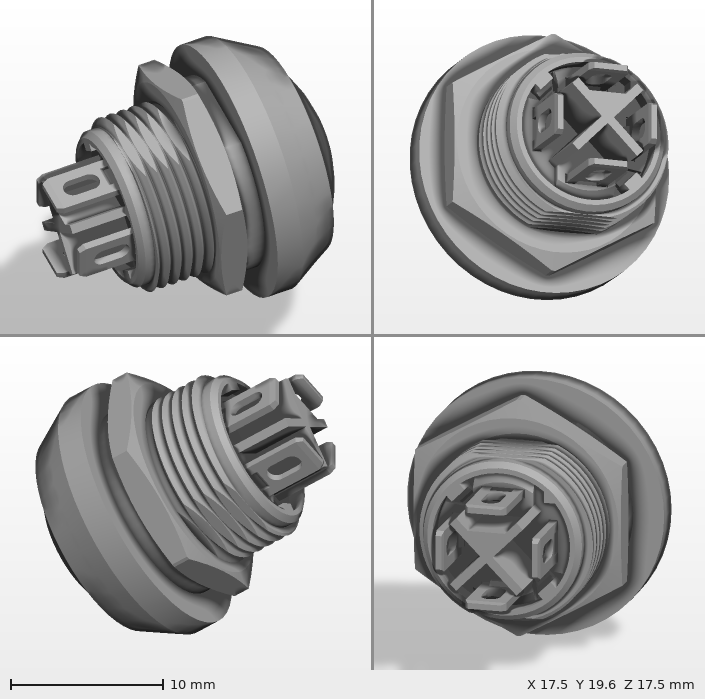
import cadquery as cq
import math


overlap = 0.1

head_radius = 17.53 / 2
rim_height = 1.8
bezel_height = 4.83
bezel_face_radius = 7.03
bezel_edge_round = 0.12
dome_height = 7.07
dome_base_radius = 6.26

neck_radius = 6.66
neck_depth = 1.3
neck_flat_height = 6.0
thread_radius = 5.98
thread_root_radius = 10.79 / 2
thread_flat_height = 5.42
thread_pitch = 25.4 / 32
thread_base_fill = 0.92
thread_root_overlap = 0.05
thread_start_depth = 2.6
thread_end_depth = 7.33
thread_crest_depth = 3.36
collar_radius = 5.41
collar_chamfer = 0.37
bushing_end_depth = 8.37

nut_width = 14.14
nut_start_depth = 1.2
nut_thickness = 2.0
nut_shift_x = -0.38
nut_face_radius = 13.85 / 2
nut_chamfer_depth = 0.43
nut_trimmed_height = 16.18
nut_countersink_radius = 5.92
nut_countersink_run = 0.5
nut_countersink_depth = 0.3

bore_radius = 4.7
insulator_radius = 9.2 / 2
insulator_face_depth = 7.42
gap_floor_depth = 7.0
key_gap = 0.08

corner_key_offset = 2.92
latch_key_inner = 4.14
latch_key_half_width = 0.62
latch_angles = (135, 315)

notch_inner = 3.43
notch_outer = 4.36
notch_inner_half_width = 0.63
notch_outer_half_width = 1.33
latch_inner = 3.6
latch_half_width = 0.58
latch_chamfer = 0.19

pad_half_width = 2.05
pad_depth = 7.95
pad_radius = 3.95
divider_depth = 11.95
divider_arm_length = 6.42
divider_arm_width = 0.6
divider_flat_height = 1.69

terminal_width = 2.78
terminal_thickness = 0.52
terminal_offset = 3.28
terminal_end_depth = 12.49
side_terminal_setback = 0.6
tip_length = 0.44
tip_width_inset = 0.24
tip_thickness_inset = 0.06
eyelet_width = 1.3
eyelet_length = 2.54
eyelet_center_depth = 10.2
tab_width = 1.52
tab_height = 0.28
tab_end_depth = 8.56
socket_width = 3.0
socket_thickness = 0.64
socket_recess = 0.2


def at_depth(depth):
    """Workplane facing -Y at a depth; local x is X and local y is Z."""
    return cq.Workplane("XZ", origin=(0, -depth, 0))


def disc(radius, start, end):
    return at_depth(start).circle(radius).extrude(end - start)


def block(width, height, start, end, x=0, z=0):
    return at_depth(start).center(x, z).rect(width, height).extrude(end - start)


def turned(outline):
    """Revolve a closed outline drawn in X and Y about the Y axis."""
    return outline.close().revolve(360, (0, 0, 0), (0, 1, 0))


def about_axis(shape, angle):
    """Turn a shape about the part axis, counting from +X toward +Z."""
    return shape.rotate((0, 0, 0), (0, -1, 0), angle)


def make_head():
    bezel = turned(
        cq.Workplane("XY")
        .moveTo(0, 0)
        .lineTo(head_radius, 0)
        .lineTo(head_radius, rim_height)
        .lineTo(bezel_face_radius, bezel_height)
        .lineTo(0, bezel_height)
    )
    bezel = bezel.faces(">Y").edges().fillet(bezel_edge_round)
    rise = dome_height - bezel_height
    sphere_radius = (dome_base_radius**2 + rise**2) / (2 * rise)
    half_angle = math.asin(dome_base_radius / sphere_radius) / 2
    drop = sphere_radius * (1 - math.cos(half_angle))
    dome = turned(
        cq.Workplane("XY")
        .moveTo(0, rim_height)
        .lineTo(dome_base_radius, rim_height)
        .lineTo(dome_base_radius, bezel_height)
        .threePointArc((sphere_radius * math.sin(half_angle), dome_height - drop), (0, dome_height))
    )
    return bezel.union(dome)


def make_neck():
    """Round neck with one flat on its upper side."""
    neck = disc(neck_radius, 0, neck_depth)
    flat_depth = neck_radius - neck_flat_height
    flat = block(2 * neck_radius, flat_depth, 0, neck_depth, z=neck_flat_height + flat_depth / 2)
    return neck.cut(flat)


def make_thread():
    """Right-handed V thread with flats above and below."""
    slope = thread_pitch / 2 / (thread_radius - thread_root_radius)
    base_radius = thread_root_radius - thread_root_overlap
    base_half_width = (thread_pitch / 2 + thread_root_overlap * slope) * thread_base_fill
    helix_start = thread_crest_depth - 2 * thread_pitch
    helix_length = thread_end_depth + thread_pitch - helix_start
    helix = cq.Wire.makeHelix(thread_pitch, helix_length, base_radius)
    ridge = (
        cq.Workplane("XZ")
        .moveTo(base_radius, -base_half_width)
        .lineTo(thread_radius, 0)
        .lineTo(base_radius, base_half_width)
        .close()
        .sweep(cq.Workplane(obj=helix), isFrenet=True)
        .translate((0, 0, helix_start))
        .rotate((0, 0, 0), (1, 0, 0), 90)
    )
    envelope = block(3 * thread_radius, 2 * thread_flat_height, thread_start_depth, thread_end_depth)
    core = disc(thread_root_radius, 0, thread_end_depth)
    return core.union(ridge.intersect(envelope))


def make_collar():
    collar = disc(collar_radius, thread_end_depth, bushing_end_depth)
    return collar.faces("<Y").edges().chamfer(collar_chamfer)


def make_nut():
    """Hexagon nut set slightly off the axis, countersunk about the axis on its -Y face."""
    corner_radius = nut_width / math.sqrt(3)
    nut_end_depth = nut_start_depth + nut_thickness
    hexagon = at_depth(nut_start_depth).polygon(6, 2 * corner_radius).extrude(nut_thickness)
    hexagon = about_axis(hexagon, 90)
    envelope = turned(
        cq.Workplane("XY")
        .moveTo(0, -nut_start_depth)
        .lineTo(nut_face_radius, -nut_start_depth)
        .lineTo(corner_radius, -nut_start_depth - nut_chamfer_depth)
        .lineTo(corner_radius, -nut_end_depth + nut_chamfer_depth)
        .lineTo(nut_face_radius, -nut_end_depth)
        .lineTo(0, -nut_end_depth)
    )
    corner_trim = block(2 * corner_radius, nut_trimmed_height, nut_start_depth, nut_end_depth)
    nut = hexagon.intersect(envelope).intersect(corner_trim).translate((nut_shift_x, 0, 0))
    countersink = turned(
        cq.Workplane("XY")
        .moveTo(0, -nut_end_depth)
        .lineTo(nut_countersink_radius, -nut_end_depth)
        .lineTo(nut_countersink_radius - nut_countersink_run, -nut_end_depth + nut_countersink_depth)
        .lineTo(0, -nut_end_depth + nut_countersink_depth)
    )
    return nut.cut(countersink)


def bore_keys(start, end, clearance):
    """Keys on the bore wall, grown inward by a clearance."""
    corner = corner_key_offset - clearance
    reach = bore_radius + overlap
    size = reach - corner
    keys = block(size, size, start, end, x=corner + size / 2, z=corner + size / 2)
    inner = latch_key_inner - clearance
    length = reach - inner
    width = 2 * (latch_key_half_width + clearance)
    latch_key = block(length, width, start, end, x=inner + length / 2)
    for angle in latch_angles:
        keys = keys.union(about_axis(latch_key, angle))
    return keys.intersect(disc(reach, start, end))


def make_bore():
    bore = disc(bore_radius, gap_floor_depth, bushing_end_depth)
    return bore.cut(bore_keys(gap_floor_depth, bushing_end_depth, 0))


def make_pads():
    """Raised pads under the upper and lower terminals, sloped toward the bore wall."""
    cone = turned(
        cq.Workplane("XY")
        .moveTo(0, -gap_floor_depth)
        .lineTo(insulator_radius, -gap_floor_depth)
        .lineTo(insulator_radius, -insulator_face_depth)
        .lineTo(pad_radius, -pad_depth)
        .lineTo(0, -pad_depth)
    )
    strip = block(2 * pad_half_width, 2 * insulator_radius, gap_floor_depth, pad_depth)
    apex = divider_arm_width / math.sqrt(2)
    side_gap = (
        at_depth(insulator_face_depth)
        .moveTo(apex, 0)
        .lineTo(apex + insulator_radius, insulator_radius)
        .lineTo(apex + insulator_radius, -insulator_radius)
        .close()
        .extrude(bushing_end_depth - insulator_face_depth)
    )
    pads = cone.intersect(strip)
    return pads.cut(side_gap).cut(about_axis(side_gap, 180))


def make_latch():
    """Flared notch in the insulator and the latch that stands in it, both on +X."""
    recess_depth = gap_floor_depth
    notch = (
        at_depth(recess_depth)
        .moveTo(notch_inner, -notch_inner_half_width)
        .lineTo(notch_outer, -notch_outer_half_width)
        .lineTo(bore_radius, -notch_outer_half_width)
        .lineTo(bore_radius, notch_outer_half_width)
        .lineTo(notch_outer, notch_outer_half_width)
        .lineTo(notch_inner, notch_inner_half_width)
        .close()
        .extrude(pad_depth - recess_depth)
        .intersect(disc(bore_radius, recess_depth, pad_depth))
    )
    length = latch_key_inner - latch_inner
    latch = block(
        length,
        2 * latch_half_width,
        recess_depth - overlap,
        insulator_face_depth,
        x=latch_inner + length / 2,
    )
    latch = latch.faces("<Y").edges("<X").chamfer(latch_chamfer)
    return notch, latch


def make_insulator():
    insulator = disc(insulator_radius, gap_floor_depth - overlap, insulator_face_depth)
    insulator = insulator.union(make_pads())
    insulator = insulator.cut(bore_keys(gap_floor_depth, pad_depth, key_gap))
    notch, latch = make_latch()
    for angle in latch_angles:
        insulator = insulator.cut(about_axis(notch, angle)).union(about_axis(latch, angle))
    return insulator


def make_divider():
    """Diagonal cross with the upper quadrant filled up to a flat side."""
    start = gap_floor_depth
    arm = block(divider_arm_length, divider_arm_width, start, divider_depth)
    flat_half_width = divider_flat_height - divider_arm_width / math.sqrt(2)
    filling = (
        at_depth(start)
        .lineTo(flat_half_width, divider_flat_height)
        .lineTo(-flat_half_width, divider_flat_height)
        .close()
        .extrude(divider_depth - start)
    )
    return about_axis(arm, 45).union(about_axis(arm, -45)).union(filling)


def make_terminal():
    """Full-length solder terminal above the axis, with a tab bent inward near its root."""
    shoulder_depth = terminal_end_depth - tip_length
    blade = block(terminal_width, terminal_thickness, gap_floor_depth - overlap, shoulder_depth)
    tip = (
        at_depth(shoulder_depth)
        .rect(terminal_width, terminal_thickness)
        .workplane(offset=tip_length)
        .rect(terminal_width - 2 * tip_width_inset, terminal_thickness - 2 * tip_thickness_inset)
        .loft(ruled=True)
    )
    eyelet = (
        cq.Workplane("XY")
        .center(0, -eyelet_center_depth)
        .slot2D(eyelet_length, eyelet_width, 90)
        .extrude(terminal_thickness, both=True)
    )
    half_thickness = terminal_thickness / 2
    tab_start = gap_floor_depth - overlap
    tab_shape = (
        cq.Workplane("YZ")
        .moveTo(-tab_start, 0)
        .lineTo(-tab_end_depth, 0)
        .lineTo(-tab_end_depth + tab_height, -tab_height)
        .lineTo(-tab_start, -tab_height)
        .close()
        .extrude(tab_width / 2, both=True)
    )
    tab = tab_shape.translate((0, 0, -half_thickness))
    tab_pocket = tab_shape.translate((0, 0, half_thickness))
    terminal = blade.union(tip).cut(eyelet).cut(tab_pocket).union(tab)
    return terminal.translate((0, 0, terminal_offset))


def add_terminals(body):
    terminal = make_terminal()
    for angle in (0, 90, 180, 270):
        on_side = angle in (90, 270)
        floor_depth = insulator_face_depth if on_side else pad_depth
        setback = side_terminal_setback if on_side else 0
        socket = block(
            socket_width,
            socket_thickness,
            floor_depth - socket_recess,
            floor_depth,
            z=terminal_offset,
        )
        body = body.cut(about_axis(socket, angle))
        body = body.union(about_axis(terminal.translate((0, setback, 0)), angle))
    return body


bushing = make_neck().union(make_thread()).union(make_collar()).cut(make_bore())
body = bushing.union(make_insulator()).union(make_divider())
result = add_terminals(body).union(make_head()).union(make_nut())